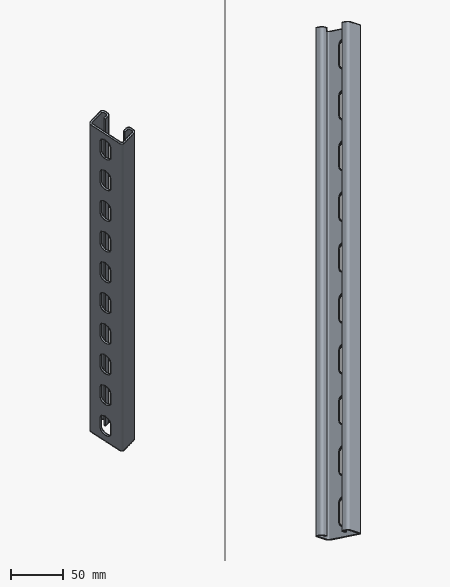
import cadquery as cq

length = 500.0
width = 41.0
depth = 21.0

thickness = 2.0
outer_bend_radius = 3.0
inner_bend_radius = 1.5

opening_width = 22.0
lip_depth = 7.0

slot_length = 30.0
slot_width = 12.5
slot_count = 10
slot_pitch = length / slot_count

web_outer_y = -depth / 2
web_inner_y = web_outer_y + thickness
top_outer_y = depth / 2
top_inner_y = top_outer_y - thickness
lip_end_y = top_outer_y - lip_depth

side_outer_x = width / 2
side_inner_x = side_outer_x - thickness
lip_outer_x = opening_width / 2
lip_inner_x = lip_outer_x + thickness


def round_bends(body, corners, radius):
    """Fillet the Z edges that pass through the given XY corners."""
    for x, y in corners:
        edge = cq.selectors.NearestToPointSelector((x, y, 0))
        body = body.edges("|Z").edges(edge).fillet(radius)
    return body


def make_half_channel():
    """+X half of the folded C-profile, from the centre plane to the lip."""
    outer_corners = [
        (side_outer_x, web_outer_y),
        (side_outer_x, top_outer_y),
        (lip_outer_x, top_outer_y),
    ]
    inner_corners = [
        (lip_inner_x, top_inner_y),
        (side_inner_x, top_inner_y),
        (side_inner_x, web_inner_y),
    ]
    outline = [
        (0, web_outer_y),
        *outer_corners,
        (lip_outer_x, lip_end_y),
        (lip_inner_x, lip_end_y),
        *inner_corners,
        (0, web_inner_y),
    ]
    half = cq.Workplane("XY").polyline(outline).close().extrude(length / 2, both=True)
    half = round_bends(half, outer_corners, outer_bend_radius)
    return round_bends(half, inner_corners, inner_bend_radius)


def make_slots():
    """Evenly spaced slots through the web, long side along Z."""
    return (
        cq.Workplane("XZ", origin=(0, web_inner_y, 0))
        .rarray(5, slot_pitch, 1, slot_count)
        .slot2D(slot_length, slot_width, 90)
        .extrude(thickness)
    )


half_channel = make_half_channel()
channel = half_channel.union(half_channel.mirror("YZ")).clean()
result = channel.cut(make_slots())